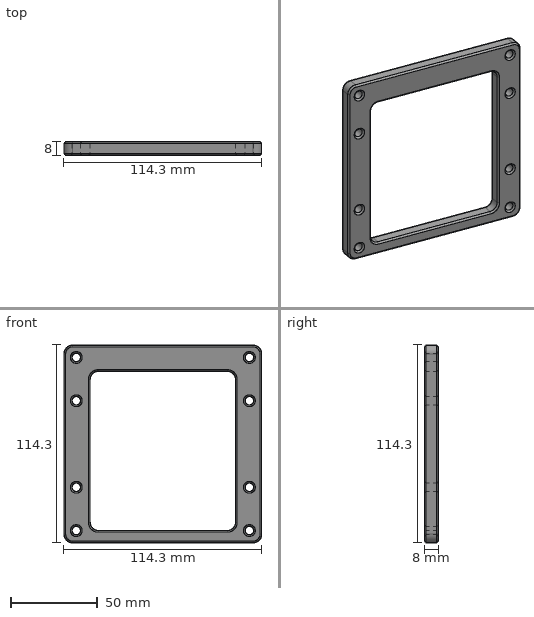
import cadquery as cq

side = 114.3
thickness = 8.0
corner_radius = 5.0
edge_chamfer = 1.0

side_rail = 15.2
top_rail = 15.2
bottom_rail = 7.2
window_radius = 4.7
window_width = side - 2 * side_rail
window_height = side - top_rail - bottom_rail
window_center_z = (bottom_rail - top_rail) / 2

hole_diameter = 4.8
outer_hole_pitch = 100.0
inner_hole_pitch = outer_hole_pitch / 2


def rounded_block(width, height, radius):
    """Block centred on the origin, with its corners rounded about Y."""
    return cq.Workplane("XY").box(width, thickness, height).edges("|Y").fillet(radius)


def make_screw_holes():
    """Bores along Y through the plate, two columns of four."""
    centers = [
        (x_sign * outer_hole_pitch / 2, z_sign * pitch / 2)
        for x_sign in (-1, 1)
        for z_sign in (-1, 1)
        for pitch in (outer_hole_pitch, inner_hole_pitch)
    ]
    bores = cq.Workplane("XZ").pushPoints(centers).circle(hole_diameter / 2)
    return bores.extrude(thickness / 2, both=True)


plate = rounded_block(side, side, corner_radius)
window = rounded_block(window_width, window_height, window_radius)
frame = plate.cut(window.translate((0, 0, window_center_z))).cut(make_screw_holes())

result = frame.faces("<Y or >Y").chamfer(edge_chamfer)